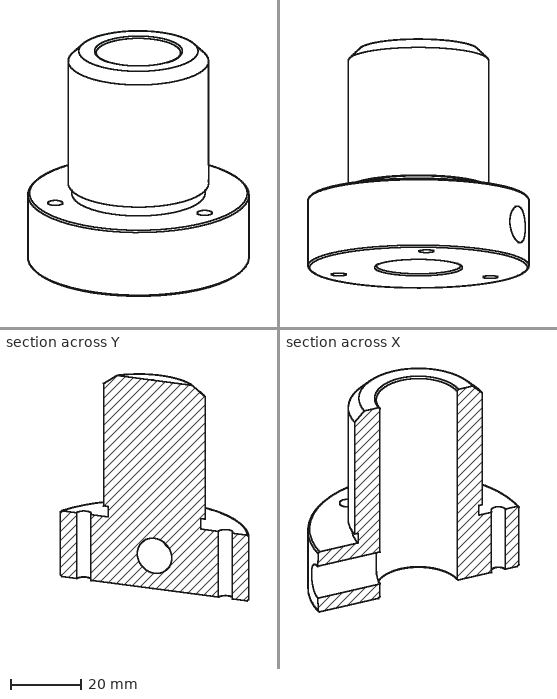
import cadquery as cq

total_height = 63.0
flange_diameter = 63.0
flange_height = 20.0
sleeve_diameter = 40.0
relief_diameter = 38.0
relief_height = 3.0
sleeve_chamfer = 3.0
bore_diameter = 24.0
edge_chamfer = 0.5

bolt_hole_diameter = 4.2
bolt_circle_radius = 25.0
bolt_hole_count = 3
first_bolt_angle = -90.0

side_hole_diameter = 10.4

flange_radius = flange_diameter / 2
sleeve_radius = sleeve_diameter / 2
relief_radius = relief_diameter / 2
bore_radius = bore_diameter / 2
sleeve_bottom = flange_height + relief_height


def turned_body():
    """Flange, relief groove, sleeve and chamfered bore as one revolved section."""
    section = [
        (bore_radius + edge_chamfer, 0),
        (flange_radius - edge_chamfer, 0),
        (flange_radius, edge_chamfer),
        (flange_radius, flange_height - edge_chamfer),
        (flange_radius - edge_chamfer, flange_height),
        (relief_radius, flange_height),
        (relief_radius, sleeve_bottom),
        (sleeve_radius, sleeve_bottom),
        (sleeve_radius, total_height - sleeve_chamfer),
        (sleeve_radius - sleeve_chamfer, total_height),
        (bore_radius + edge_chamfer, total_height),
        (bore_radius, total_height - edge_chamfer),
        (bore_radius, edge_chamfer),
    ]
    return cq.Workplane("XZ").polyline(section).close().revolve(360, (0, 0, 0), (0, 1, 0))


def bolt_holes():
    """Cutters for the evenly spaced holes through the flange."""
    return (
        cq.Workplane("XY")
        .polarArray(bolt_circle_radius, first_bolt_angle, 360, bolt_hole_count)
        .circle(bolt_hole_diameter / 2)
        .extrude(flange_height)
    )


def side_hole():
    """Cutter for the radial hole from the +Y side of the flange into the bore."""
    return (
        cq.Workplane("XZ")
        .center(0, flange_height / 2)
        .circle(side_hole_diameter / 2)
        .extrude(-flange_radius)
    )


result = turned_body().cut(bolt_holes()).cut(side_hole())